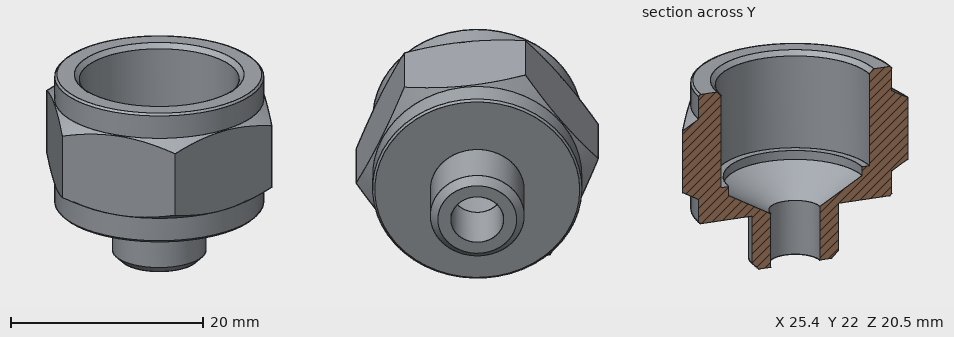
import cadquery as cq
import math

corner_diameter = 25.4
hex_height = 9.0
hex_chamfer_angle = 30.0

collar_diameter = 21.8
collar_height = 2.75
collar_chamfer = 0.23

pin_diameter = 9.78
pin_length = 6.02
pin_chamfer = 0.8

bore_diameter = 16.65
bore_depth = 10.75
bore_chamfer = 0.5
recess_diameter = 15.0
recess_depth = 1.0
hole_diameter = 5.5
funnel_half_angle = 60.0

hex_bottom = pin_length + collar_height
hex_top = hex_bottom + hex_height
total_height = hex_top + collar_height
bore_floor = total_height - bore_depth
recess_floor = bore_floor - recess_depth
funnel_depth = (recess_diameter - hole_diameter) / 2 / math.tan(math.radians(funnel_half_angle))


def revolve_profile(points):
    """Revolve (radius, height) points about the Z axis."""
    return cq.Workplane("XZ").polyline(points).close().revolve(360, (0, 0), (0, 1))


def make_hexagon():
    """Hexagonal prism with its corners cut by a cone at both ends."""
    prism = (
        cq.Workplane("XY").workplane(offset=hex_bottom).polygon(6, corner_diameter).extrude(hex_height)
    )
    collar_radius = collar_diameter / 2
    corner_radius = corner_diameter / 2
    cone_height = (corner_radius - collar_radius) * math.tan(math.radians(hex_chamfer_angle))
    envelope = revolve_profile([
        (0, hex_bottom),
        (collar_radius, hex_bottom),
        (corner_radius, hex_bottom + cone_height),
        (corner_radius, hex_top - cone_height),
        (collar_radius, hex_top),
        (0, hex_top),
    ])
    return prism.intersect(envelope)


def make_round_body():
    """Pin and both collars, with chamfered outer edges."""
    pin_radius = pin_diameter / 2
    collar_radius = collar_diameter / 2
    return revolve_profile([
        (0, 0),
        (pin_radius - pin_chamfer, 0),
        (pin_radius, pin_chamfer),
        (pin_radius, pin_length),
        (collar_radius - collar_chamfer, pin_length),
        (collar_radius, pin_length + collar_chamfer),
        (collar_radius, total_height - collar_chamfer),
        (collar_radius - collar_chamfer, total_height),
        (0, total_height),
    ])


def make_cavity():
    """Chamfered bore with a flat ledge, a recess, a funnel and the through hole."""
    bore_radius = bore_diameter / 2
    recess_radius = recess_diameter / 2
    hole_radius = hole_diameter / 2
    return revolve_profile([
        (0, 0),
        (hole_radius, 0),
        (hole_radius, recess_floor - funnel_depth),
        (recess_radius, recess_floor),
        (recess_radius, bore_floor),
        (bore_radius, bore_floor),
        (bore_radius, total_height - bore_chamfer),
        (bore_radius + bore_chamfer, total_height),
        (0, total_height),
    ])


result = make_round_body().union(make_hexagon()).cut(make_cavity())